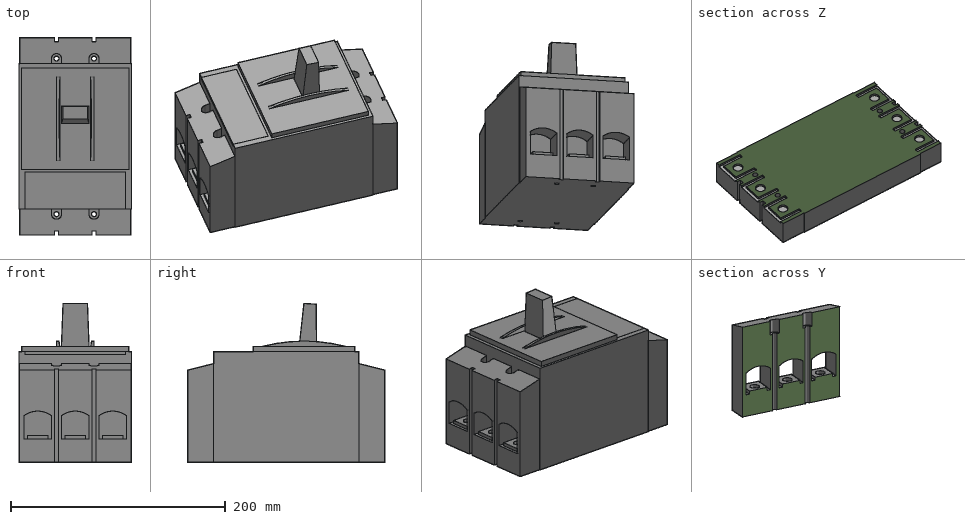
import cadquery as cq


case_width = 105.0
case_length = 135.5
case_height = 103.2
overall_length = 184.0
end_width = 103.8
end_height = 86.1
end_slope_rise = 6.0
end_length = (overall_length - case_length) / 2

pole_pitch = 35.0
pole_positions = [-pole_pitch, 0, pole_pitch]
divider_positions = [-pole_pitch / 2, pole_pitch / 2]
groove_size = 3.7
screw_inset = 4.8
screw_hole_diameter = 4.5
screw_recess_width = 9.4
screw_recess_floor = 77.3
screw_y = case_length / 2 + screw_inset

pocket_width = 25.4
pocket_floor = 22.0
pocket_side_height = 21.5
pocket_arch_rise = 4.2
pad_width = 19.1
pad_thickness = 3.1
pad_setback = 3.0
pad_hole_diameter = 8.8
pad_hole_setback = 9.5

panel_width = 93.7
panel_length = 34.5
panel_thickness = 2.4

cover_width = 100.0
cover_length = 94.8
cover_thickness = 5.0
cover_centre_y = 16.5
cover_top = case_height + cover_thickness

rib_length = 77.8
rib_height = 5.0
rib_outer_x = 17.5
rib_base_thickness = 3.1
rib_top_thickness = 2.4

handle_base_width = 26.0
handle_top_width = 23.0
handle_base_front = 12.0
handle_base_back = 28.3
handle_top_front = 16.4
handle_top_back = 28.0
handle_height = 40.1
handle_top_drop = 0.7


def box(x_size, y_size, z_size, x=0.0, y=0.0, z=0.0):
    """Box centred on (x, y) and standing on height z."""
    return cq.Workplane("XY").box(x_size, y_size, z_size, centered=(True, True, False)).translate((x, y, z))


def upright_cylinder(diameter, height, x, y, z=0.0):
    return cq.Workplane("XY").circle(diameter / 2).extrude(height).translate((x, y, z))


def make_case_block():
    """Tall middle section plus a lower, slightly narrower block with a sloping top at each end."""
    half_case = case_length / 2
    half_overall = overall_length / 2
    slope_top = end_height + end_slope_rise
    ends = (
        cq.Workplane("YZ")
        .polyline([
            (-half_overall, 0),
            (half_overall, 0),
            (half_overall, end_height),
            (half_case, slope_top),
            (-half_case, slope_top),
            (-half_overall, end_height),
        ])
        .close()
        .extrude(end_width / 2, both=True)
    )
    return box(case_width, case_length, case_height).union(ends)


def make_screw_recess(x):
    """U-shaped recess and through hole for one mounting screw at the -Y end."""
    depth = case_height - screw_recess_floor
    round_end = upright_cylinder(screw_recess_width, depth, x, -screw_y, screw_recess_floor)
    straight = box(screw_recess_width, screw_inset, depth, x, -screw_y + screw_inset / 2, screw_recess_floor)
    hole = upright_cylinder(screw_hole_diameter, case_height, x, -screw_y)
    recess = round_end.intersect(
        box(screw_recess_width, end_length, depth, x, -(case_length + end_length) / 2, screw_recess_floor)
    )
    return recess.union(straight).union(hole)


def make_groove(x):
    """Vertical groove in the -Y end face, between two poles."""
    return box(groove_size, groove_size, case_height, x, -(overall_length - groove_size) / 2)


def make_pocket(x):
    """Arched terminal pocket, as deep as the end block."""
    half_width = pocket_width / 2
    shoulder = pocket_floor + pocket_side_height
    return (
        cq.Workplane("XZ", origin=(x, -case_length / 2, 0))
        .moveTo(-half_width, pocket_floor)
        .lineTo(half_width, pocket_floor)
        .lineTo(half_width, shoulder)
        .threePointArc((0, shoulder + pocket_arch_rise), (-half_width, shoulder))
        .close()
        .extrude(end_length)
    )


def make_terminal_pad(x):
    """Drilled terminal pad on the pocket floor, reaching the back of the pocket."""
    pad_length = end_length - pad_setback
    pad_front = -overall_length / 2 + pad_setback
    pad = box(pad_width, pad_length, pad_thickness, x, pad_front + pad_length / 2, pocket_floor)
    hole = upright_cylinder(pad_hole_diameter, pad_thickness, x, pad_front + pad_hole_setback, pocket_floor)
    return pad.cut(hole)


def make_panel():
    return box(
        panel_width, panel_length, panel_thickness,
        y=(panel_length - case_length) / 2,
        z=case_height - panel_thickness,
    )


def make_housing():
    housing = make_case_block()
    cutters = [make_pocket(x) for x in pole_positions]
    for x in divider_positions:
        cutters.append(make_screw_recess(x))
        cutters.append(make_groove(x))
    for cutter in cutters:
        housing = housing.cut(cutter).cut(cutter.mirror("XZ"))
    for x in pole_positions:
        pad = make_terminal_pad(x)
        housing = housing.union(pad).union(pad.mirror("XZ"))
    return housing.cut(make_panel())


def make_rib():
    """Arched guide rib on the +X side, its inner face leaning outwards."""
    arch = (
        cq.Workplane("YZ")
        .moveTo(cover_centre_y - rib_length / 2, cover_top)
        .threePointArc(
            (cover_centre_y, cover_top + rib_height),
            (cover_centre_y + rib_length / 2, cover_top),
        )
        .close()
        .extrude(rib_outer_x)
    )
    section = (
        cq.Workplane("XZ", origin=(0, cover_centre_y, 0))
        .polyline([
            (rib_outer_x - rib_base_thickness, cover_top),
            (rib_outer_x, cover_top),
            (rib_outer_x, cover_top + rib_height),
            (rib_outer_x - rib_top_thickness, cover_top + rib_height),
        ])
        .close()
        .extrude(rib_length / 2, both=True)
    )
    return arch.intersect(section)


def make_cover():
    plate = box(cover_width, cover_length, cover_thickness, y=cover_centre_y, z=case_height)
    rib = make_rib()
    return plate.union(rib).union(rib.mirror("YZ"))


def make_handle():
    """Tapered toggle: its side profile trimmed to its front profile."""
    top = cover_top + handle_height
    side_profile = (
        cq.Workplane("YZ")
        .polyline([
            (handle_base_front, cover_top),
            (handle_base_back, cover_top),
            (handle_top_back, top - handle_top_drop),
            (handle_top_front, top),
        ])
        .close()
        .extrude(handle_base_width / 2, both=True)
    )
    front_profile = (
        cq.Workplane("XZ")
        .polyline([
            (-handle_base_width / 2, cover_top),
            (handle_base_width / 2, cover_top),
            (handle_top_width / 2, top),
            (-handle_top_width / 2, top),
        ])
        .close()
        .extrude(-handle_base_back)
    )
    return side_profile.intersect(front_profile)


housing = make_housing()
panel = make_panel()
cover = make_cover()
handle = make_handle()

result = cq.Compound.makeCompound([housing.val(), panel.val(), cover.val(), handle.val()])